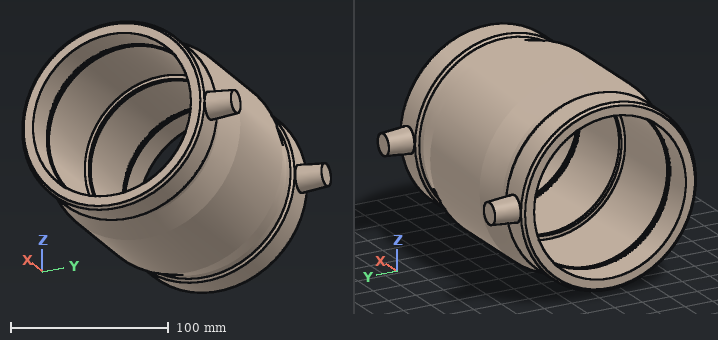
import cadquery as cq

length = 163.0
body_diameter = 135.0
body_length = 65.0
collar_diameter = 126.9
collar_length = 23.5
collar_chamfer_length = 2.0
neck_diameter = 123.09
neck_length = 5.7

socket_diameter = 110.0
groove_diameter = 111.5
groove_start_depth = 21.2
groove_width = 3.5
stop_diameter = 104.5
stop_length = 3.0

terminal_tip_y = 81.0
terminal_tip_diameter = 15.0
terminal_base_diameter = 18.0
terminal_inset = 11.5
terminal_root = 3.0

half_length = length / 2
half_body = body_length / 2
half_stop = stop_length / 2
body_radius = body_diameter / 2
collar_radius = collar_diameter / 2
neck_radius = neck_diameter / 2
socket_radius = socket_diameter / 2
groove_radius = groove_diameter / 2
stop_radius = stop_diameter / 2
collar_inner_x = half_length - collar_length
neck_inner_x = collar_inner_x - neck_length
groove_outer_x = half_length - groove_start_depth
groove_inner_x = groove_outer_x - groove_width


def make_sleeve():
    """Revolve the wall section; each half list runs outward from x = 0."""
    outside_half = [
        (half_body, body_radius),
        (neck_inner_x, neck_radius),
        (collar_inner_x, neck_radius),
        (collar_inner_x + collar_chamfer_length, collar_radius),
        (half_length - collar_chamfer_length, collar_radius),
        (half_length, neck_radius),
    ]
    inside_half = [
        (half_stop, stop_radius),
        (half_stop, socket_radius),
        (groove_inner_x, socket_radius),
        (groove_inner_x, groove_radius),
        (groove_outer_x, groove_radius),
        (groove_outer_x, socket_radius),
        (half_length, socket_radius),
    ]
    right_half = outside_half + inside_half[::-1]
    left_half = [(-x, radius) for x, radius in right_half[::-1]]
    section = cq.Workplane("XY").polyline(right_half + left_half).close()
    return section.revolve(360, (0, 0, 0), (1, 0, 0))


def make_terminal(x):
    """Cone that widens from its tip down to a root sunk into the collar."""
    height = terminal_tip_y - collar_radius
    slope = (terminal_base_diameter - terminal_tip_diameter) / 2 / height
    root_radius = terminal_base_diameter / 2 + slope * terminal_root
    cone = cq.Solid.makeCone(
        root_radius,
        terminal_tip_diameter / 2,
        height + terminal_root,
        pnt=cq.Vector(x, collar_radius - terminal_root, 0),
        dir=cq.Vector(0, 1, 0),
    )
    return cq.Workplane(obj=cone)


result = make_sleeve()
terminal_x = half_length - terminal_inset
for x in (-terminal_x, terminal_x):
    result = result.union(make_terminal(x))